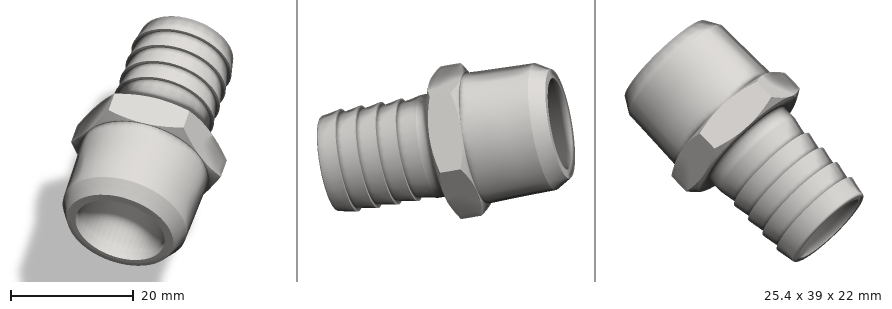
import cadquery as cq
import math

length = 39.0

across_flats = 22.0
hex_start = 14.05
hex_end = 19.5
corner_bevel_angle = 30.0

thread_root_radius = 10.8
thread_front_radius = 10.5
lead_in_length = 2.55
lead_in_angle = 30.0

barb_radius = 8.5
barb_neck_radius = 7.85
collar_length = 2.55
barb_count = 5
tip_round = 0.4

bore_front_radius = 7.55
bore_tip_radius = 6.7
bore_cone_angle = 60.0
bore_cone_start = hex_start

barbs_start = hex_end + collar_length
barb_pitch = (length - barbs_start) / barb_count


def tangent(angle):
    return math.tan(math.radians(angle))


def revolve_profile(points):
    """Turn a closed (radius, Y) outline about the Y axis."""
    return cq.Workplane("XY").polyline(points).close().revolve(360, (0, 0, 0), (0, 1, 0))


def make_thread_body():
    face_radius = thread_front_radius - lead_in_length * tangent(lead_in_angle)
    return revolve_profile([
        (0, 0),
        (face_radius, 0),
        (thread_front_radius, lead_in_length),
        (thread_root_radius, hex_start),
        (0, hex_start),
    ])


def make_hex():
    """Hexagon with its corners bevelled by a cone at each end."""
    flat_radius = across_flats / 2
    corner_radius = flat_radius / math.cos(math.radians(30))
    bevel = (corner_radius - flat_radius) * tangent(corner_bevel_angle)
    prism = (
        cq.Workplane("XZ", origin=(0, hex_start, 0))
        .polygon(6, 2 * corner_radius)
        .extrude(hex_start - hex_end)
    )
    envelope = revolve_profile([
        (0, hex_start),
        (flat_radius, hex_start),
        (corner_radius, hex_start + bevel),
        (corner_radius, hex_end - bevel),
        (flat_radius, hex_end),
        (0, hex_end),
    ])
    return prism.intersect(envelope)


def make_hose_tail():
    """Plain collar followed by barbs that narrow towards the tip."""
    points = [(0, hex_end), (barb_radius, hex_end)]
    for index in range(barb_count):
        barb_start = barbs_start + index * barb_pitch
        points.append((barb_radius, barb_start))
        points.append((barb_neck_radius, barb_start + barb_pitch))
    points.append((0, length))
    return revolve_profile(points).faces(">Y").edges().fillet(tip_round)


def make_bore():
    cone_length = (bore_front_radius - bore_tip_radius) / tangent(bore_cone_angle)
    return revolve_profile([
        (0, 0),
        (bore_front_radius, 0),
        (bore_front_radius, bore_cone_start),
        (bore_tip_radius, bore_cone_start + cone_length),
        (bore_tip_radius, length),
        (0, length),
    ])


result = make_thread_body().union(make_hex()).union(make_hose_tail()).cut(make_bore())